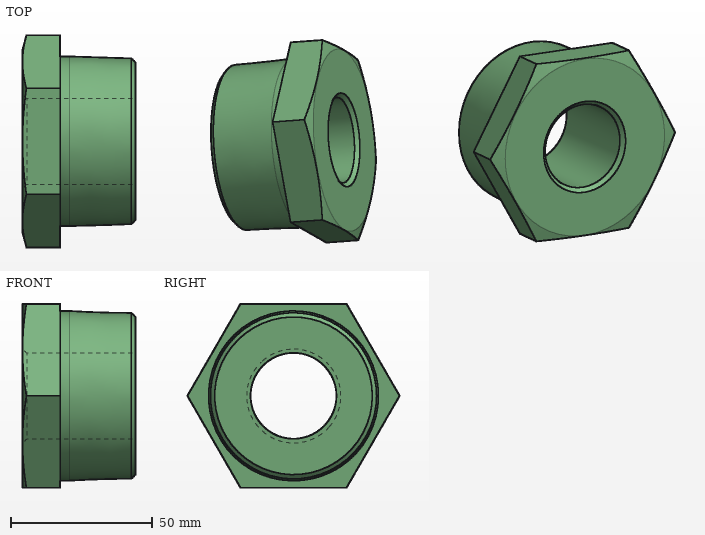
import cadquery as cq
import math

across_flats = 65.0
head_length = 13.3
head_chamfer_diameter = 64.6
head_chamfer_angle = 15.0

total_length = 40.0
collar_length = 3.3
thread_large_diameter = 60.08
thread_taper = 1 / 16
end_chamfer = 1.5

bore_diameter = 30.29
bore_mouth_diameter = 33.25
bore_chamfer = (bore_mouth_diameter - bore_diameter) / 2

across_corners = across_flats / math.cos(math.pi / 6)
corner_clearance = 1.0


def revolve_about_x(profile):
    """Turn a closed list of (x, radius) points about the X axis."""
    return cq.Workplane("XY").polyline(profile).close().revolve(360, (0, 0, 0), (1, 0, 0))


def hexagon_head():
    """Hexagon with flats facing +Z and -Z, its outer corners turned off by a cone."""
    hexagon = cq.Workplane("YZ").polygon(6, across_corners).extrude(head_length)
    face_radius = head_chamfer_diameter / 2
    outer_radius = across_corners / 2 + corner_clearance
    cone_length = (outer_radius - face_radius) * math.tan(math.radians(head_chamfer_angle))
    envelope = revolve_about_x([
        (0, 0),
        (0, face_radius),
        (cone_length, outer_radius),
        (head_length, outer_radius),
        (head_length, 0),
    ])
    return hexagon.intersect(envelope)


def male_end():
    """Straight collar, tapered thread body and chamfered end."""
    large_radius = thread_large_diameter / 2
    taper_start = head_length + collar_length
    chamfer_start = total_length - end_chamfer
    small_radius = large_radius - (chamfer_start - taper_start) * thread_taper / 2
    return revolve_about_x([
        (0, 0),
        (0, large_radius),
        (taper_start, large_radius),
        (chamfer_start, small_radius),
        (total_length, small_radius - end_chamfer),
        (total_length, 0),
    ])


def bore():
    """Through bore with a 45 degree chamfer at the head face."""
    bore_radius = bore_diameter / 2
    return revolve_about_x([
        (0, 0),
        (0, bore_mouth_diameter / 2),
        (bore_chamfer, bore_radius),
        (total_length, bore_radius),
        (total_length, 0),
    ])


result = hexagon_head().union(male_end()).cut(bore())